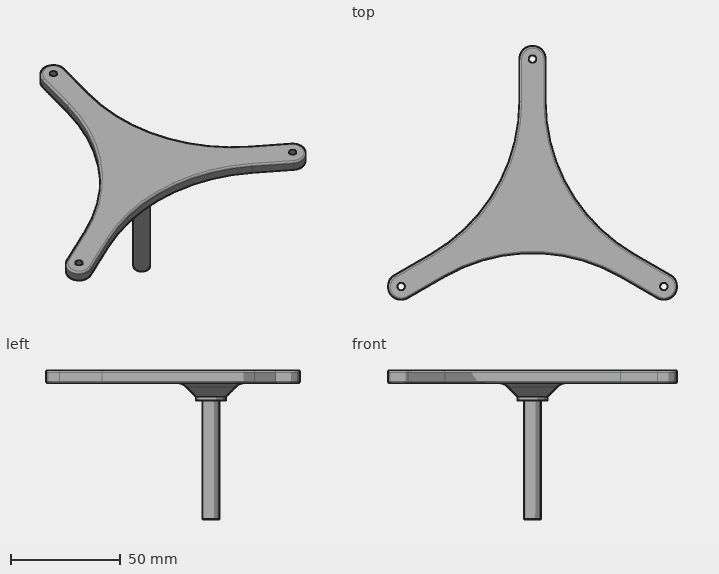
import cadquery as cq
import math

arm_count = 3
arm_angle = 360 / arm_count
first_arm_angle = 90
overall_width = 131.5
arm_half_width = 6.0
plate_thickness = 6.0
plate_edge_fillet = 1.0
web_radius = 80.0
hole_diameter = 3.3

collar_radius = 7.0
collar_depth = 8.0
collar_rim_height = 2.0
collar_rim_chamfer = 0.4
collar_root_fillet = 5.0
stem_radius = 4.0
overall_height = 68.0
stem_end_chamfer = 0.4

lower_arm_drop = 30
hole_circle_radius = (overall_width / 2 - arm_half_width) / math.cos(math.radians(lower_arm_drop))
stem_bottom = plate_thickness - overall_height
cone_height = collar_depth - collar_rim_height


def polar(radius, angle):
    """Point in the XY plane at a radius and an angle in degrees."""
    return radius * math.cos(math.radians(angle)), radius * math.sin(math.radians(angle))


def arm_point(angle, along, across):
    """Point measured along an arm and to the left of its centreline."""
    x_along, y_along = polar(along, angle)
    x_across, y_across = polar(across, angle + 90)
    return x_along + x_across, y_along + y_across


def make_plate():
    """Round-ended arms joined by large concave arcs, with rounded edges."""
    half_angle = arm_angle / 2
    web_centre = (web_radius + arm_half_width) / math.sin(math.radians(half_angle))
    web_middle = web_centre - web_radius
    straight_start = web_centre * math.cos(math.radians(half_angle))

    outline = cq.Workplane("XY").moveTo(*arm_point(first_arm_angle, straight_start, -arm_half_width))
    for i in range(arm_count):
        angle = first_arm_angle + i * arm_angle
        next_angle = angle + arm_angle
        outline = (
            outline.lineTo(*arm_point(angle, hole_circle_radius, -arm_half_width))
            .threePointArc(
                arm_point(angle, hole_circle_radius + arm_half_width, 0),
                arm_point(angle, hole_circle_radius, arm_half_width),
            )
            .lineTo(*arm_point(angle, straight_start, arm_half_width))
            .threePointArc(
                polar(web_middle, angle + half_angle),
                arm_point(next_angle, straight_start, -arm_half_width),
            )
        )
    plate = outline.close().extrude(plate_thickness)
    plate = plate.faces("<Z or >Z").edges().fillet(plate_edge_fillet)

    hole_centres = [polar(hole_circle_radius, first_arm_angle + i * arm_angle) for i in range(arm_count)]
    holes = cq.Workplane("XY").pushPoints(hole_centres).circle(hole_diameter / 2).extrude(plate_thickness)
    return plate.cut(holes)


def make_collar_and_stem():
    """Revolved stem with a rimmed 45 degree collar that flares into the plate."""
    half_bend = math.radians(45) / 2
    diagonal = math.sqrt(0.5)
    tangent_length = collar_root_fillet * math.tan(half_bend)
    cone_top_radius = collar_radius + cone_height
    fillet_centre_radius = cone_top_radius + tangent_length
    fillet_start = (cone_top_radius - tangent_length * diagonal, -tangent_length * diagonal)
    fillet_middle = (
        fillet_centre_radius - collar_root_fillet * math.sin(half_bend),
        -collar_root_fillet + collar_root_fillet * math.cos(half_bend),
    )
    overlap = plate_thickness / 2
    profile = (
        cq.Workplane("XZ")
        .moveTo(0, stem_bottom)
        .lineTo(stem_radius - stem_end_chamfer, stem_bottom)
        .lineTo(stem_radius, stem_bottom + stem_end_chamfer)
        .lineTo(stem_radius, -collar_depth)
        .lineTo(collar_radius - collar_rim_chamfer, -collar_depth)
        .lineTo(collar_radius, -collar_depth + collar_rim_chamfer)
        .lineTo(collar_radius, -cone_height)
        .lineTo(*fillet_start)
        .threePointArc(fillet_middle, (fillet_centre_radius, 0))
        .lineTo(fillet_centre_radius, overlap)
        .lineTo(0, overlap)
        .close()
    )
    return profile.revolve(360, (0, 0, 0), (0, 1, 0))


result = make_plate().union(make_collar_and_stem())